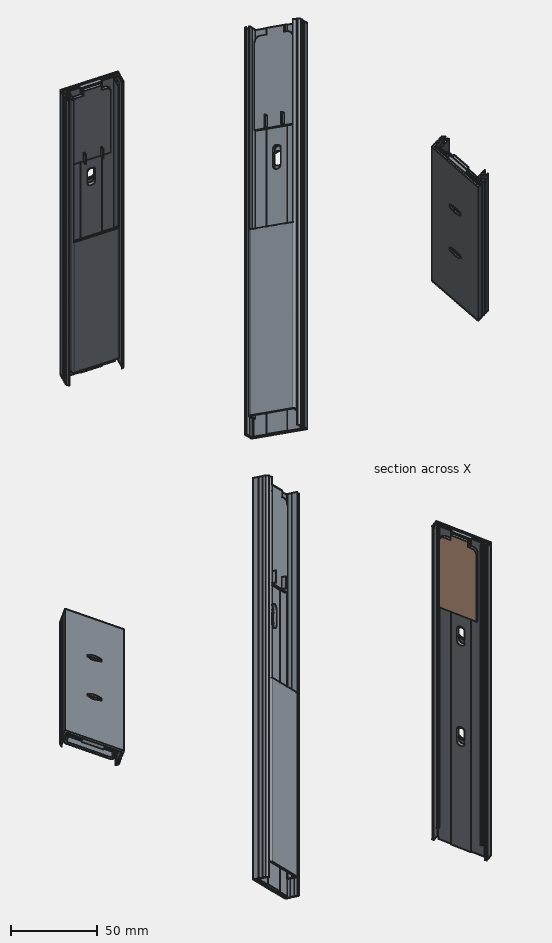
import cadquery as cq

length = 248.6
sheet = 1.2

outer_width = 36.3
outer_depth = 10.0
bend_start = 8.7
tip_lean_outside = 1.2
tip_lean_inside = 0.5
hole_diameter = 9.0
hole_heights = (88.8, 168.5)

race_centre = 5.0
race_width = 2.7
race_depth = 0.62

inner_width = 30.3
inner_start = 3.5
inner_end = 10.5
inner_bottom = 10.5
inner_corner = 1.5
web_top = 124.3

carrier_back = 2.0
carrier_front = 3.0
carrier_width = inner_width
middle_back = sheet
middle_front = 3.5
middle_width = 13.5
slot_width = 5.0
slot_length = 15.0

latch_back = 3.7
latch_front = 5.5
latch_width = 24.9
latch_offset = -1.0
latch_bottom = 186.5
latch_shoulder = 243.7
latch_top = 247.7
latch_corner = 3.7
neck_width = 11.5
tab_reach = 2.5
tab_thickness = 0.7
tab_height = 7.5
tab_spacing = 11.0


def block(x_start, x_end, width, z_start, z_end, y_middle=0.0):
    """Box between two X and two Z positions, centred on y_middle."""
    return (
        cq.Workplane("XY")
        .box(x_end - x_start, width, z_end - z_start, centered=(False, True, False))
        .translate((x_start, y_middle, z_start))
    )


def race_cutters(width):
    """Material to take off the outside of flanges set this width apart, beside the two crowned beads."""
    radius = ((race_width / 2) ** 2 + race_depth**2) / (2 * race_depth)
    race_start = race_centre - race_width / 2
    race_end = race_centre + race_width / 2
    grooves = block(race_start, race_end, width, 0, length)
    grooves = grooves.cut(block(race_start, race_end, width - 2 * race_depth, 0, length))
    bead_axis = width / 2 - radius
    beads = (
        cq.Workplane("XY")
        .pushPoints([(race_centre, bead_axis), (race_centre, -bead_axis)])
        .circle(radius)
        .extrude(length)
    )
    return grooves.cut(beads)


def make_outer_rail():
    """Channel open towards +X, with inward-leaning flange tips and two mounting holes."""
    outside = outer_width / 2
    inside = outside - sheet
    upper_half = [
        (0, outside),
        (bend_start, outside),
        (outer_depth, outside - tip_lean_outside),
        (outer_depth, inside - tip_lean_inside),
        (bend_start, inside),
        (sheet, inside),
    ]
    lower_half = [(x, -y) for x, y in reversed(upper_half)]
    rail = cq.Workplane("XY").polyline(upper_half + lower_half).close().extrude(length)
    holes = (
        cq.Workplane("YZ")
        .pushPoints([(0, z) for z in hole_heights])
        .circle(hole_diameter / 2)
        .extrude(sheet)
    )
    return rail.cut(race_cutters(outer_width)).cut(holes)


def make_inner_rail():
    """Channel open towards -X whose web is cut away in its upper part."""
    inner_gap = inner_width - 2 * sheet
    rail = block(inner_start, inner_end, inner_width, inner_bottom, length)
    rail = rail.edges("|Z and >X").fillet(inner_corner)
    channel = block(inner_start, inner_end - sheet, inner_gap, inner_bottom, length)
    channel = channel.edges("|Z and >X").fillet(inner_corner - sheet)
    web_cutaway = block(inner_start, inner_end, inner_gap, web_top, length)
    return rail.cut(channel).cut(web_cutaway).cut(race_cutters(inner_width))


def make_carrier():
    """Strip with a thicker middle and a slot behind each mounting hole."""
    strip = block(carrier_back, carrier_front, carrier_width, 0, length)
    middle = block(middle_back, middle_front, middle_width, 0, length)
    slots = (
        cq.Workplane("YZ")
        .pushPoints([(0, z) for z in hole_heights])
        .slot2D(slot_length, slot_width, 90)
        .extrude(middle_front)
    )
    return strip.union(middle).cut(slots)


def make_latch():
    """Plate with rounded shoulders, a neck above them and two tabs at its lower end."""
    plate = block(latch_back, latch_front, latch_width, latch_bottom, latch_shoulder, latch_offset)
    plate = plate.edges("|X and >Z").fillet(latch_corner)
    neck = block(latch_back, latch_front, neck_width, latch_bottom, latch_top)
    plate = plate.union(neck)
    for side in (-1, 1):
        tab = block(
            latch_back,
            latch_front + tab_reach,
            tab_thickness,
            latch_bottom,
            latch_bottom + tab_height,
            side * tab_spacing / 2,
        )
        plate = plate.union(tab)
    return plate


outer_rail = make_outer_rail()
inner_rail = make_inner_rail()
carrier = make_carrier()
latch = make_latch()

result = cq.Compound.makeCompound([outer_rail.val(), inner_rail.val(), carrier.val(), latch.val()])